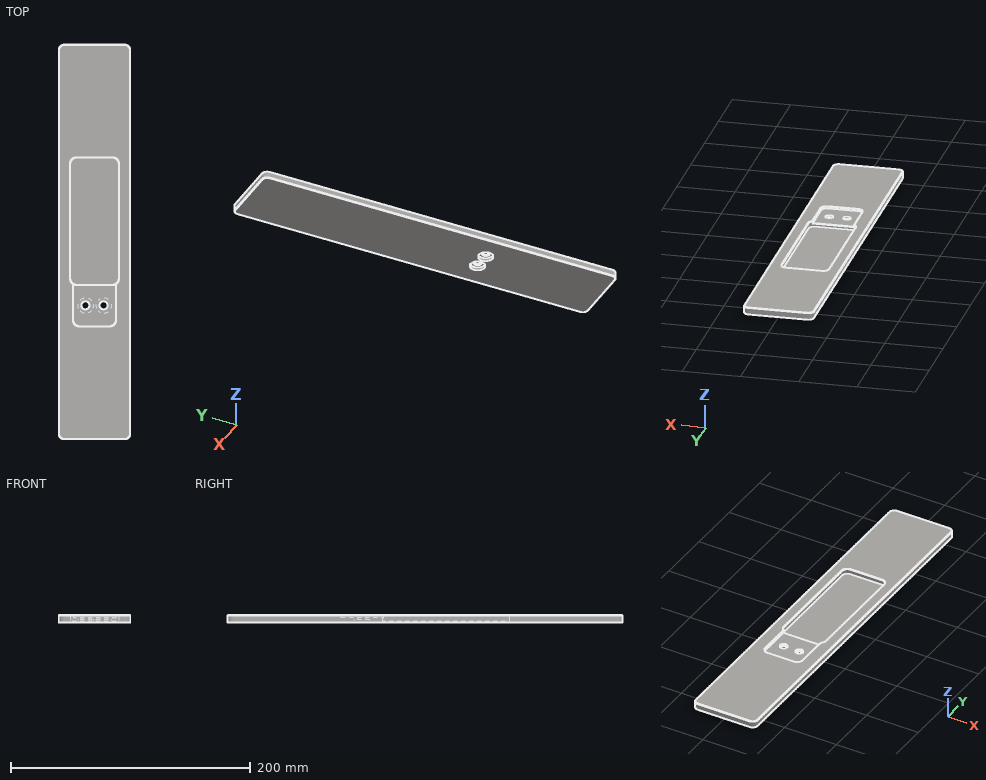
import cadquery as cq

length = 330.0
width = 60.0
thickness = 6.5
corner_radius = 5.0
edge_chamfer = 0.5

recess_length = 140.5
deep_length = 106.0
deep_width = 40.3
deep_depth = 5.0
shallow_width = 35.3
shallow_depth = 2.0
recess_radius = 5.0

hole_diameter = 6.5
hole_spacing = 15.2
counterbore_diameter = 13.0
counterbore_depth = 3.0

recess_front = -recess_length / 2
recess_back = recess_length / 2
step_y = recess_back - deep_length
hole_y = (recess_front + step_y) / 2


def make_plate():
    """Rounded plate with its top and bottom edges chamfered; the top face is at Z = 0."""
    plate = cq.Workplane("XY").box(width, length, thickness, centered=(True, True, False))
    plate = plate.translate((0, 0, -thickness))
    plate = plate.edges("|Z").fillet(corner_radius)
    return plate.faces("<Z or >Z").edges().chamfer(edge_chamfer)


def make_pocket(pocket_width, front, back, depth):
    """Cutter with rounded corners, reaching down from the top face."""
    pocket = cq.Workplane("XY").box(pocket_width, back - front, depth, centered=(True, True, False))
    pocket = pocket.edges("|Z").fillet(recess_radius)
    return pocket.translate((0, (front + back) / 2, -depth))


deep_pocket = make_pocket(deep_width, step_y, recess_back, deep_depth)

shallow_back = step_y + 2 * recess_radius
shallow_pocket = make_pocket(shallow_width, recess_front, shallow_back, shallow_depth)

hole_points = [(-hole_spacing / 2, hole_y), (hole_spacing / 2, hole_y)]
holes = cq.Workplane("XY").pushPoints(hole_points).circle(hole_diameter / 2).extrude(-thickness)
counterbores = (
    cq.Workplane("XY", origin=(0, 0, -thickness))
    .pushPoints(hole_points)
    .circle(counterbore_diameter / 2)
    .extrude(counterbore_depth)
)

recessed_plate = make_plate().cut(deep_pocket).cut(shallow_pocket)

rim_wire = recessed_plate.faces(">Z").val().innerWires()[0]
recessed_plate = recessed_plate.newObject(rim_wire.Edges()).chamfer(edge_chamfer)

step_edge = cq.selectors.NearestToPointSelector((0, step_y, -shallow_depth))
recessed_plate = recessed_plate.edges(step_edge).chamfer(edge_chamfer)

result = recessed_plate.cut(holes).cut(counterbores)